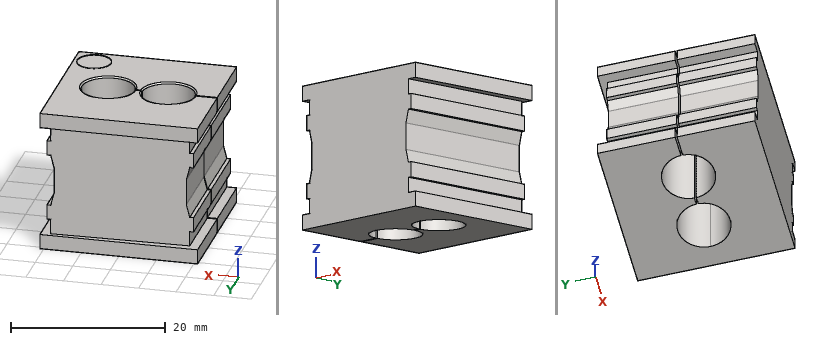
import cadquery as cq

width = 21.0
depth = 21.0
height = 19.0

flange_thickness = 2.0
recess_half_width = 9.2
rib_half_width = 9.7
waist_half_width = 8.75
rib_outer_z = 5.5
rib_inner_z = 3.5
waist_half_height = 1.75

bore_diameter = 7.0
bore_spacing = 8.0
bore_chamfer = 0.2

slit_width = 0.25

back_inset_left = 1.05
back_inset_right = 0.55

label_diameter = 4.5
label_depth = 0.1
label_x = 7.8
label_y = -7.8

top_z = height / 2
flange_inner_z = top_z - flange_thickness
back_y = depth / 2


def make_body():
    """Extrude the X-Z profile along the full depth."""
    right_upper = [
        (waist_half_width, waist_half_height),
        (recess_half_width, rib_inner_z),
        (rib_half_width, rib_inner_z),
        (rib_half_width, rib_outer_z),
        (recess_half_width, rib_outer_z),
        (recess_half_width, flange_inner_z),
        (width / 2, flange_inner_z),
        (width / 2, top_z),
    ]
    left_upper = [(-x, z) for x, z in reversed(right_upper)]
    left_lower = [(x, -z) for x, z in reversed(left_upper)]
    right_lower = [(x, -z) for x, z in reversed(right_upper)]
    outline = right_upper + left_upper + left_lower + right_lower
    return cq.Workplane("XZ").polyline(outline).close().extrude(depth / 2, both=True)


def make_back_relief():
    """Wedge of space behind the tapered back wall, between the two flanges."""
    return (
        cq.Workplane("XY", origin=(0, 0, -flange_inner_z))
        .moveTo(-width / 2, back_y)
        .lineTo(-width / 2, back_y - back_inset_left)
        .lineTo(width / 2, back_y - back_inset_right)
        .lineTo(width / 2, back_y)
        .close()
        .extrude(2 * flange_inner_z)
    )


def make_bore(x):
    """Through bore with a chamfered rim at the top."""
    radius = bore_diameter / 2
    rim_radius = radius + bore_chamfer
    chamfer_z = top_z - bore_chamfer
    return (
        cq.Workplane("XZ")
        .moveTo(0, -top_z)
        .lineTo(radius, -top_z)
        .lineTo(radius, chamfer_z)
        .lineTo(rim_radius, top_z)
        .lineTo(0, top_z)
        .close()
        .revolve(360, (0, 0, 0), (0, 1, 0))
        .translate((x, 0, 0))
    )


def make_slit():
    """Thin vertical cut running from the -X side to the centre of the far bore."""
    length = width / 2 + bore_spacing / 2
    centre_x = (length - width) / 2
    return cq.Workplane("XY").box(length, slit_width, height).translate((centre_x, 0, 0))


def make_label_recess():
    """Shallow round recess in the top face, near the front right corner."""
    return (
        cq.Workplane("XY", origin=(label_x, label_y, top_z))
        .circle(label_diameter / 2)
        .extrude(-label_depth)
    )


result = make_body().cut(make_back_relief())
for bore_x in (-bore_spacing / 2, bore_spacing / 2):
    result = result.cut(make_bore(bore_x))
result = result.cut(make_slit()).cut(make_label_recess())